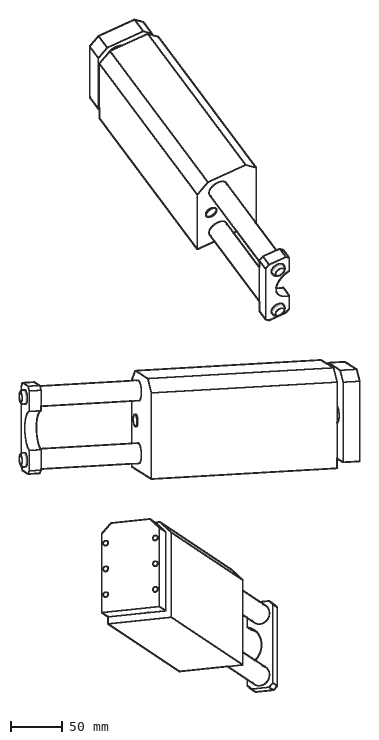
import cadquery as cq

TOTAL_LENGTH = 334.5

HOUSING_LENGTH = 190.0
HOUSING_WIDTH = 67.0
HOUSING_HEIGHT = 98.0
HOUSING_CHAMFER = 12.0

FRONT_PLATE_THICKNESS = 17.0
FRONT_PLATE_WIDTH = 61.0
FRONT_PLATE_HEIGHT = 90.0
FRONT_PLATE_BOTTOM = 5.0
FRONT_PLATE_CHAMFER = 10.0
FRONT_GAP = 7.0

MOUNTING_HOLE_DIAMETER = 5.0
MOUNTING_HOLE_DEPTH = 10.0
MOUNTING_HOLE_SPACING_Y = 52.2
MOUNTING_HOLE_SPACING_Z = 26.0

GUIDE_ROD_DIAMETER = 20.0
GUIDE_ROD_SPACING = 62.5

PISTON_ROD_DIAMETER = 17.0
PISTON_ROD_Y = 8.5
PISTON_ROD_INSERTION = 100.5

GLAND_DIAMETER = 20.0
GLAND_LENGTH = 1.0

END_BOSS_DIAMETER = 12.0
END_BOSS_LENGTH = 1.0
END_BOSS_Y = -18.0

TAIL_PLATE_THICKNESS = 12.0
TAIL_PLATE_WIDTH = 27.0
TAIL_PLATE_FRONT_Y = -23.7
TAIL_PLATE_HEIGHT = 87.5
TAIL_PLATE_CHAMFER = 4.0
TAIL_RELIEF_DIAMETER = 40.0

SCREW_HEAD_DIAMETER = 14.0
SCREW_HEAD_LENGTH = 4.7
SCREW_HEAD_TIP_DIAMETER = 10.0
SCREW_HEAD_RIM_LENGTH = 1.7
SCREW_HEAD_DOME_BULGE = 0.7

HOUSING_START = FRONT_PLATE_THICKNESS + FRONT_GAP
HOUSING_END = HOUSING_START + HOUSING_LENGTH
MID_HEIGHT = HOUSING_HEIGHT / 2
TAIL_PLATE_END = TOTAL_LENGTH - SCREW_HEAD_LENGTH
TAIL_PLATE_START = TAIL_PLATE_END - TAIL_PLATE_THICKNESS
GUIDE_ROD_Y = TAIL_PLATE_FRONT_Y + TAIL_PLATE_WIDTH / 2
GUIDE_ROD_HEIGHTS = [MID_HEIGHT - GUIDE_ROD_SPACING / 2, MID_HEIGHT + GUIDE_ROD_SPACING / 2]


def block_along_x(x_start, length, width, height, y_mid, z_bottom):
    """Rectangular block that starts at x_start and rests on z_bottom."""
    return cq.Workplane("XY").box(length, width, height, centered=(False, True, False)).translate(
        (x_start, y_mid, z_bottom)
    )


def cylinder_along_x(diameter, x_start, x_end, y, z):
    """Cylinder whose axis is parallel to X."""
    return cq.Workplane("YZ", origin=(x_start, y, z)).circle(diameter / 2).extrude(x_end - x_start)


def make_housing():
    """Chamfered block with a rod gland, an end boss and bores for the three rods."""
    housing = block_along_x(HOUSING_START, HOUSING_LENGTH, HOUSING_WIDTH, HOUSING_HEIGHT, 0, 0)
    housing = housing.edges("|X and >Z").chamfer(HOUSING_CHAMFER)

    gland_start = HOUSING_START - GLAND_LENGTH
    gland = cylinder_along_x(GLAND_DIAMETER, gland_start, HOUSING_START, PISTON_ROD_Y, MID_HEIGHT)
    end_boss = cylinder_along_x(
        END_BOSS_DIAMETER, HOUSING_END, HOUSING_END + END_BOSS_LENGTH, END_BOSS_Y, MID_HEIGHT
    )
    housing = housing.union(gland).union(end_boss)

    piston_bore_end = HOUSING_START + PISTON_ROD_INSERTION
    housing = housing.cut(
        cylinder_along_x(PISTON_ROD_DIAMETER, gland_start, piston_bore_end, PISTON_ROD_Y, MID_HEIGHT)
    )
    for z in GUIDE_ROD_HEIGHTS:
        housing = housing.cut(
            cylinder_along_x(GUIDE_ROD_DIAMETER, HOUSING_START, HOUSING_END, GUIDE_ROD_Y, z)
        )
    return housing


def make_front_plate():
    """Front tool plate with two columns of blind mounting holes."""
    plate = block_along_x(
        0, FRONT_PLATE_THICKNESS, FRONT_PLATE_WIDTH, FRONT_PLATE_HEIGHT, 0, FRONT_PLATE_BOTTOM
    )
    plate = plate.edges("|X and >Z").chamfer(FRONT_PLATE_CHAMFER)
    holes = (
        cq.Workplane("YZ", origin=(0, 0, MID_HEIGHT))
        .rarray(MOUNTING_HOLE_SPACING_Y, MOUNTING_HOLE_SPACING_Z, 2, 3)
        .circle(MOUNTING_HOLE_DIAMETER / 2)
        .extrude(MOUNTING_HOLE_DEPTH)
    )
    return plate.cut(holes)


def make_tail_plate():
    """Plate joining the far ends of the guide rods, relieved around the piston rod axis."""
    plate = block_along_x(
        TAIL_PLATE_START,
        TAIL_PLATE_THICKNESS,
        TAIL_PLATE_WIDTH,
        TAIL_PLATE_HEIGHT,
        GUIDE_ROD_Y,
        MID_HEIGHT - TAIL_PLATE_HEIGHT / 2,
    )
    plate = plate.edges("|X").chamfer(TAIL_PLATE_CHAMFER)
    relief = cylinder_along_x(
        TAIL_RELIEF_DIAMETER, TAIL_PLATE_START, TAIL_PLATE_END, PISTON_ROD_Y, MID_HEIGHT
    )
    return plate.cut(relief)


def make_screw_head(z):
    """Button screw head on the outside of the tail plate: a straight rim, then a domed shoulder."""
    rim_radius = SCREW_HEAD_DIAMETER / 2
    tip_radius = SCREW_HEAD_TIP_DIAMETER / 2
    dome_mid_x = (SCREW_HEAD_RIM_LENGTH + SCREW_HEAD_LENGTH) / 2
    dome_mid_radius = (rim_radius + tip_radius) / 2 + SCREW_HEAD_DOME_BULGE
    head = (
        cq.Workplane("XY")
        .lineTo(0, rim_radius)
        .lineTo(SCREW_HEAD_RIM_LENGTH, rim_radius)
        .threePointArc((dome_mid_x, dome_mid_radius), (SCREW_HEAD_LENGTH, tip_radius))
        .lineTo(SCREW_HEAD_LENGTH, 0)
        .close()
        .revolve(360, (0, 0), (1, 0))
    )
    return head.translate((TAIL_PLATE_END, GUIDE_ROD_Y, z))


def make_slide():
    """Moving slide: front plate, piston rod, guide rods, tail plate and screw heads."""
    slide = make_front_plate().union(make_tail_plate())
    piston_rod_end = HOUSING_START + PISTON_ROD_INSERTION
    slide = slide.union(
        cylinder_along_x(
            PISTON_ROD_DIAMETER, FRONT_PLATE_THICKNESS, piston_rod_end, PISTON_ROD_Y, MID_HEIGHT
        )
    )
    for z in GUIDE_ROD_HEIGHTS:
        guide_rod = cylinder_along_x(
            GUIDE_ROD_DIAMETER, FRONT_PLATE_THICKNESS, TAIL_PLATE_START, GUIDE_ROD_Y, z
        )
        slide = slide.union(guide_rod).union(make_screw_head(z))
    return slide


housing = make_housing()
slide = make_slide()

result = cq.Compound.makeCompound([housing.val(), slide.val()])